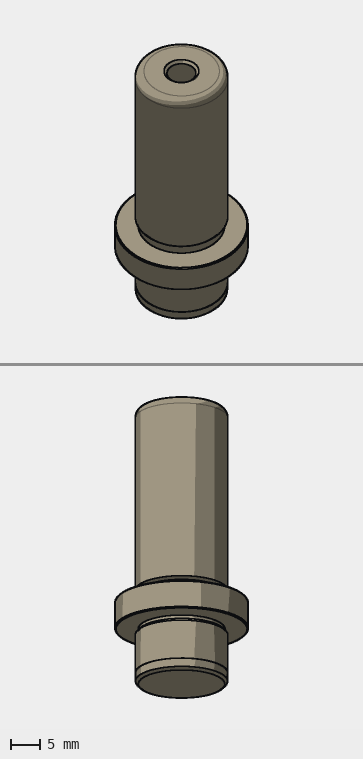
import cadquery as cq
import math

total_height = 50.0
collar_bottom = 10.0
collar_height = 5.0
collar_top = collar_bottom + collar_height

collar_radius = 23.0 / 2
shank_radius = 16.0 / 2
neck_radius = 15.0 / 2
pilot_radius = 15.9 / 2

lower_neck_width = 1.1
upper_neck_width = 2.0
neck_chamfer = shank_radius - neck_radius

pilot_length = 2.0
pilot_chamfer = 0.5

collar_chamfer = 0.2
top_fillet = 1.5

hole_radius = 5.0 / 2
hole_mouth_radius = 6.0 / 2
hole_depth = 15.0
countersink_angle = 90.0
drill_point_angle = 118.0


def cone_height(radius_change, full_angle):
    """Axial length of a cone whose radius changes by the given amount."""
    return radius_change / math.tan(math.radians(full_angle / 2))


def revolve_about_axis(half_profile):
    """Turn a closed (radius, z) profile in the XZ plane about Z."""
    return half_profile.close().revolve(360, (0, 0, 0), (0, 1, 0))


def make_cylindrical_section(radius, bottom, top):
    return cq.Workplane("XY").workplane(offset=bottom).circle(radius).extrude(top - bottom)


def make_pilot():
    pilot = make_cylindrical_section(pilot_radius, 0, pilot_length)
    return pilot.faces("<Z").edges().chamfer(pilot_chamfer)


def make_lower_shank():
    top = collar_bottom - lower_neck_width
    shank = make_cylindrical_section(shank_radius, pilot_length, top + neck_chamfer)
    return shank.faces(">Z").edges().chamfer(neck_chamfer)


def make_neck():
    bottom = collar_bottom - lower_neck_width
    return make_cylindrical_section(neck_radius, bottom, collar_top + upper_neck_width)


def make_collar():
    collar = make_cylindrical_section(collar_radius, collar_bottom, collar_top)
    return collar.faces("<Z or >Z").edges().chamfer(collar_chamfer)


def make_upper_shank():
    bottom = collar_top + upper_neck_width - neck_chamfer
    shank = make_cylindrical_section(shank_radius, bottom, total_height)
    shank = shank.faces("<Z").edges().chamfer(neck_chamfer)
    return shank.faces(">Z").edges().fillet(top_fillet)


def make_hole():
    """Countersunk blind hole ending in a conical drill point."""
    countersink_bottom = total_height - cone_height(hole_mouth_radius - hole_radius, countersink_angle)
    bore_bottom = total_height - hole_depth
    drill_tip = bore_bottom - cone_height(hole_radius, drill_point_angle)
    return revolve_about_axis(
        cq.Workplane("XZ")
        .moveTo(0, total_height)
        .lineTo(hole_mouth_radius, total_height)
        .lineTo(hole_radius, countersink_bottom)
        .lineTo(hole_radius, bore_bottom)
        .lineTo(0, drill_tip)
    )


result = (
    make_pilot()
    .union(make_lower_shank())
    .union(make_neck())
    .union(make_collar())
    .union(make_upper_shank())
    .cut(make_hole())
)